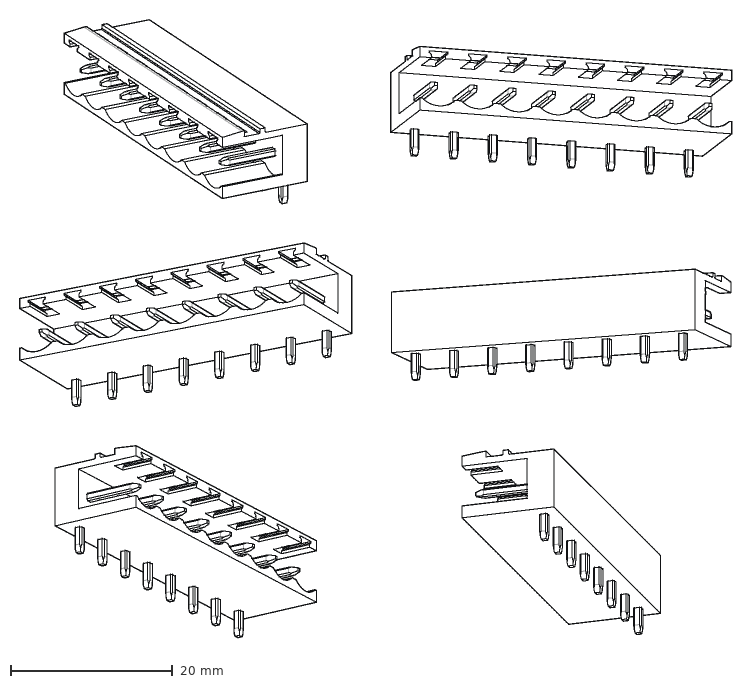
import cadquery as cq


LENGTH = 40.45
DEPTH = 12.0
FLOOR_TOP = 1.58
CEILING = 6.8
DECK_TOP = 7.65
BACK_WALL_FRONT = 8.55

PIN_COUNT = 8
ROW_MARGIN = 2.43
PITCH = (LENGTH - 2 * ROW_MARGIN) / (PIN_COUNT - 1)
PIN_POSITIONS = [ROW_MARGIN + i * PITCH for i in range(PIN_COUNT)]

BAR_BACK = 3.15
BAR_SLOPE_START = 2.8
BAR_TOP = 8.4
BAR_FRONT_TOP = 8.13

RIB_FRONT = 5.35
RIB_BACK = 6.05
RIB_TOP = 8.25
RIB_FOOT = 0.12

TROUGH_WIDTH = 4.25
TROUGH_DEPTH = 0.85

SLOT_TOP_WIDTH = 2.4
SLOT_BOTTOM_WIDTH = 1.8
SLOT_NECK_TOP = 7.15
SLOT_LIP_BOTTOM = 7.45
SLOT_LENGTH = 4.15

WIRE = 1.0
WIRE_CHAMFER = 0.2
CONTACT_Z = 3.75
CONTACT_TIP_Y = 1.0
CONTACT_TIP_WIDTH = 0.4
CONTACT_TAPER = 1.17
TAIL_Y = 9.95
TAIL_TIP_Z = -3.25
TAIL_TIP_WIDTH = 0.65
TAIL_TAPER = 0.97


def make_shell():
    """Constant side profile of the housing, swept along the row."""
    return (
        cq.Workplane("YZ")
        .moveTo(0, 0)
        .lineTo(DEPTH, 0)
        .lineTo(DEPTH, DECK_TOP)
        .lineTo(RIB_BACK + RIB_FOOT, DECK_TOP)
        .lineTo(RIB_BACK, DECK_TOP + RIB_FOOT)
        .lineTo(RIB_BACK, RIB_TOP)
        .lineTo(RIB_FRONT, RIB_TOP)
        .lineTo(RIB_FRONT, DECK_TOP + RIB_FOOT)
        .lineTo(RIB_FRONT - RIB_FOOT, DECK_TOP)
        .lineTo(BAR_BACK, DECK_TOP)
        .lineTo(BAR_BACK, BAR_TOP)
        .lineTo(BAR_SLOPE_START, BAR_TOP)
        .lineTo(0, BAR_FRONT_TOP)
        .lineTo(0, CEILING)
        .lineTo(BACK_WALL_FRONT, CEILING)
        .lineTo(BACK_WALL_FRONT, FLOOR_TOP)
        .lineTo(0, FLOOR_TOP)
        .close()
        .extrude(LENGTH)
    )


def make_trough(x):
    """Cutter for one arc-shaped trough in the floor."""
    half_width = TROUGH_WIDTH / 2
    return (
        cq.Workplane("XZ")
        .moveTo(x - half_width, FLOOR_TOP)
        .threePointArc((x, FLOOR_TOP - TROUGH_DEPTH), (x + half_width, FLOOR_TOP))
        .close()
        .extrude(-BACK_WALL_FRONT)
    )


def make_slot(x):
    """Cutter for one slot in the roof: wide at the top, tapering to a straight neck."""
    half_top = SLOT_TOP_WIDTH / 2
    half_bottom = SLOT_BOTTOM_WIDTH / 2
    return (
        cq.Workplane("XZ")
        .moveTo(x - half_top, DECK_TOP)
        .lineTo(x - half_top, SLOT_LIP_BOTTOM)
        .lineTo(x - half_bottom, SLOT_NECK_TOP)
        .lineTo(x - half_bottom, CEILING)
        .lineTo(x + half_bottom, CEILING)
        .lineTo(x + half_bottom, SLOT_NECK_TOP)
        .lineTo(x + half_top, SLOT_LIP_BOTTOM)
        .lineTo(x + half_top, DECK_TOP)
        .close()
        .extrude(-SLOT_LENGTH)
    )


def make_wire(length, tip_width, taper):
    """Straight wire along +Z, with its tapered tip ending at the given length."""
    shaft_length = length - taper
    shaft = cq.Workplane("XY").rect(WIRE, WIRE).extrude(shaft_length)
    tip = (
        cq.Workplane("XY")
        .workplane(offset=shaft_length)
        .rect(WIRE, WIRE)
        .workplane(offset=taper)
        .rect(tip_width, tip_width)
        .loft()
    )
    chamfered_bar = (
        cq.Workplane("XY")
        .rect(WIRE, WIRE)
        .extrude(length)
        .edges("|Z")
        .chamfer(WIRE_CHAMFER)
    )
    return shaft.union(tip).intersect(chamfered_bar)


def make_pin(x):
    """Right-angle pin: a contact pointing to the front and a solder tail pointing down."""
    half_wire = WIRE / 2
    contact_start = TAIL_Y + half_wire
    tail_start = CONTACT_Z + half_wire
    contact = (
        make_wire(contact_start - CONTACT_TIP_Y, CONTACT_TIP_WIDTH, CONTACT_TAPER)
        .rotate((0, 0, 0), (1, 0, 0), 90)
        .translate((x, contact_start, CONTACT_Z))
    )
    tail = (
        make_wire(tail_start - TAIL_TIP_Z, TAIL_TIP_WIDTH, TAIL_TAPER)
        .rotate((0, 0, 0), (1, 0, 0), 180)
        .translate((x, TAIL_Y, tail_start))
    )
    return contact.union(tail)


pins = [make_pin(x) for x in PIN_POSITIONS]

housing = make_shell()
for pin_x, pin in zip(PIN_POSITIONS, pins):
    housing = housing.cut(make_trough(pin_x)).cut(make_slot(pin_x)).cut(pin)

result = cq.Compound.makeCompound([housing.val(), *[pin.val() for pin in pins]])